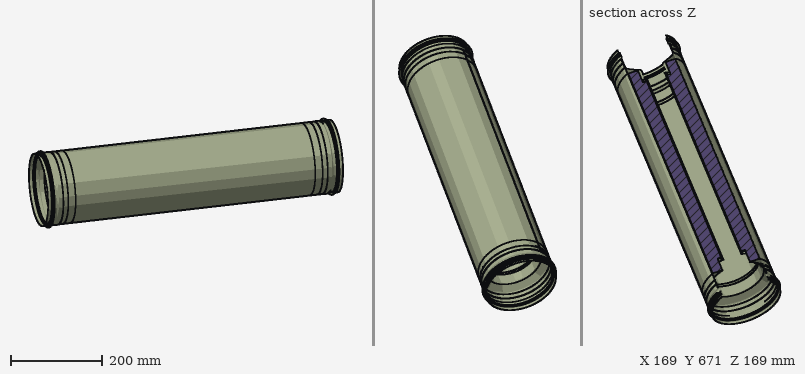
import cadquery as cq
import math


length = 671.0
sheet = 1.0

casing_diameter = 161.0
casing_wall = 1.0
casing_start = 35.0
seam_angle = 135.0
seam_gap = 0.15

rim_diameter = 161.0
rim_end = 5.0
neck_diameter = 157.0
neck_start = 8.4
neck_end = 21.0
collar_diameter = 162.0
collar_start = 25.0
skirt_end = 46.0

gasket_base_diameter = 158.0
front_lip_diameter = 164.5
front_lip_start = 9.0
front_lip_width = 1.0
rear_lip_diameter = 169.0
rear_lip_start = 13.0
rear_lip_width = 1.5

cone_angle = 50.0
mouth_bend_radius = 7.0
throat_bend_radius = 7.5
sleeve_bore_diameter = 123.0
sleeve_overlap = 7.0

liner_bore_diameter = 120.0
liner_start = 88.5

insulation_diameter = 158.0
insulation_start = 63.0
sleeve_recess_diameter = 129.5

casing_radius = casing_diameter / 2
casing_bore = casing_radius - casing_wall
skirt_bore = casing_bore - sheet
neck_radius = neck_diameter / 2
sleeve_bore = sleeve_bore_diameter / 2
sleeve_end = liner_start + sleeve_overlap


def start_outline(radius, depth):
    """New outline in a plane whose origin is on the axis at the -Y end."""
    return cq.Workplane("XY", origin=(0, -length / 2, 0)).moveTo(radius, depth)


def closed_outline(points):
    return start_outline(*points[0]).polyline(points).close()


def revolve_about_y(outline, angle=360):
    return outline.revolve(angle, (0, 0, 0), (0, 1, 0))


def tube_outline(outer_radius, inner_radius, start):
    """Section of a tube that stops the given depth short of both ends."""
    end = length - start
    return closed_outline([
        (inner_radius, start),
        (outer_radius, start),
        (outer_radius, end),
        (inner_radius, end),
    ])


def at_both_ends(body):
    """The body at the -Y end and its mirror image at the +Y end."""
    return [body.val(), body.mirror("XZ").val()]


def make_casing():
    """Rolled tube, open along a narrow butt seam."""
    gap_angle = math.degrees(seam_gap / casing_radius)
    rolled = revolve_about_y(tube_outline(casing_radius, casing_bore, casing_start), 360 - gap_angle)
    return rolled.rotate((0, 0, 0), (0, 1, 0), -seam_angle)


def s_bend(outline, start, end):
    """Add two equal tangent arcs that leave the start and reach the end along Y."""
    middle = ((start[0] + end[0]) / 2, (start[1] + end[1]) / 2)
    outline = outline.tangentArcPoint(middle, relative=False)
    return outline.tangentArcPoint(end, relative=False)


def make_fitting():
    rim = rim_diameter / 2
    collar = collar_diameter / 2
    rim_bore = rim - sheet
    neck_bore = neck_radius - sheet
    outline = start_outline(rim, 0).lineTo(rim, rim_end)
    outline = s_bend(outline, (rim, rim_end), (neck_radius, neck_start))
    outline = outline.lineTo(neck_radius, neck_end)
    outline = s_bend(outline, (neck_radius, neck_end), (collar, collar_start))
    outline = outline.lineTo(collar, casing_start).lineTo(casing_bore, casing_start)
    outline = outline.lineTo(casing_bore, skirt_end).lineTo(skirt_bore, skirt_end)
    outline = outline.lineTo(skirt_bore, collar_start)
    outline = s_bend(outline, (skirt_bore, collar_start), (neck_bore, neck_end))
    outline = outline.lineTo(neck_bore, neck_start)
    outline = s_bend(outline, (neck_bore, neck_start), (rim_bore, rim_end))
    return revolve_about_y(outline.lineTo(rim_bore, 0).close())


def make_gasket():
    base = gasket_base_diameter / 2
    front_tip = front_lip_diameter / 2
    rear_tip = rear_lip_diameter / 2
    front_lip_end = front_lip_start + front_lip_width
    rear_lip_end = rear_lip_start + rear_lip_width
    return revolve_about_y(closed_outline([
        (neck_radius, front_lip_start),
        (front_tip, front_lip_start),
        (front_tip, front_lip_end),
        (base, front_lip_end),
        (base, rear_lip_start),
        (rear_tip, rear_lip_start),
        (rear_tip, rear_lip_end),
        (neck_radius, rear_lip_end),
    ]))


def make_cone():
    slope = math.radians(cone_angle)
    bend_drop = (mouth_bend_radius + throat_bend_radius) * (1 - math.cos(slope))
    slope_length = (skirt_bore - sleeve_bore - bend_drop) / math.sin(slope)
    bend_run = (mouth_bend_radius + throat_bend_radius) * math.sin(slope)
    sleeve_start = skirt_end + bend_run + slope_length * math.cos(slope)
    mouth_centre = (skirt_bore - mouth_bend_radius, skirt_end)
    throat_centre = (sleeve_bore + throat_bend_radius, sleeve_start)

    def mouth_point(angle, offset):
        reach = mouth_bend_radius + offset
        return mouth_centre[0] + reach * math.cos(angle), mouth_centre[1] + reach * math.sin(angle)

    def throat_point(angle, offset):
        reach = throat_bend_radius - offset
        return throat_centre[0] - reach * math.cos(angle), throat_centre[1] - reach * math.sin(angle)

    outline = start_outline(*mouth_point(0, 0))
    outline = outline.threePointArc(mouth_point(slope / 2, 0), mouth_point(slope, 0))
    outline = outline.lineTo(*throat_point(slope, 0))
    outline = outline.threePointArc(throat_point(slope / 2, 0), throat_point(0, 0))
    outline = outline.lineTo(sleeve_bore, sleeve_end).lineTo(sleeve_bore + sheet, sleeve_end)
    outline = outline.lineTo(*throat_point(0, sheet))
    outline = outline.threePointArc(throat_point(slope / 2, sheet), throat_point(slope, sheet))
    outline = outline.lineTo(*mouth_point(slope, sheet))
    outline = outline.threePointArc(mouth_point(slope / 2, sheet), mouth_point(0, sheet))
    return revolve_about_y(outline.close())


def make_liner():
    return revolve_about_y(tube_outline(sleeve_bore, liner_bore_diameter / 2, liner_start))


def make_insulation():
    """Thick tube on the liner, recessed at both ends around the sleeves."""
    outer = insulation_diameter / 2
    recess = sleeve_recess_diameter / 2
    return revolve_about_y(closed_outline([
        (outer, insulation_start),
        (outer, length - insulation_start),
        (recess, length - insulation_start),
        (recess, length - sleeve_end),
        (sleeve_bore, length - sleeve_end),
        (sleeve_bore, sleeve_end),
        (recess, sleeve_end),
        (recess, insulation_start),
    ]))


casing = make_casing()
liner = make_liner()
insulation = make_insulation()
fittings = at_both_ends(make_fitting())
gaskets = at_both_ends(make_gasket())
cones = at_both_ends(make_cone())

result = cq.Compound.makeCompound([
    casing.val(),
    liner.val(),
    insulation.val(),
    *fittings,
    *gaskets,
    *cones,
])